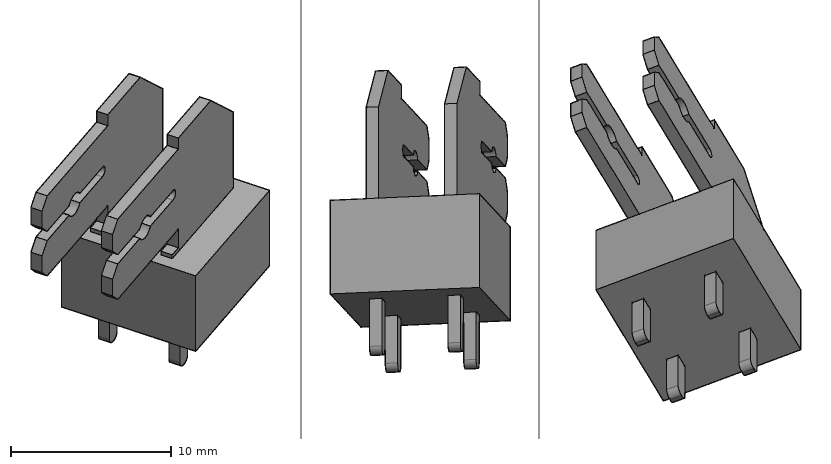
import cadquery as cq


housing_width = 9.5
housing_depth = 9.8
housing_height = 6.0

terminal_thickness = 0.8
terminal_pitch = 5.0
terminal_offset = -0.25
terminal_height = 9.01
back_y = 8.95
shoulder_y = 1.66
top_bevel = 2.98
foot_front_y = 0.85
foot_height = 0.3

tab_tip_y = -7.05
tab_height = 6.36
tab_top_z = 8.14
tab_mid_z = tab_top_z - tab_height / 2
slot_width = 0.74
slot_end_y = 1.31
detent_y = -2.74
detent_diameter = 1.6
prong_bevel_length = 0.68
prong_bevel_height = 0.74

pin_width = 1.0
pin_pitch = 5.0
front_pin_y = 2.4
pin_length_below = 18.5 - housing_height - terminal_height
pin_bottom_z = -housing_height - pin_length_below
pin_tip_radius = 0.46

pin_positions = [front_pin_y, front_pin_y + pin_pitch]
terminal_positions = [terminal_offset + side * terminal_pitch / 2 for side in (-1, 1)]


def side_plane(x_middle):
    """Y-Z sketch plane on the left face of a terminal centred at x_middle."""
    return cq.Workplane("YZ", origin=(x_middle - terminal_thickness / 2, 0, 0))


def make_plate(x_middle):
    """Upright plate with a bevelled back corner, a small foot and a plain tab."""
    tab_bottom_z = tab_top_z - tab_height
    outline = [
        (back_y, 0),
        (back_y, terminal_height - top_bevel),
        (back_y - top_bevel, terminal_height),
        (shoulder_y, terminal_height),
        (shoulder_y, tab_top_z),
        (tab_tip_y, tab_top_z),
        (tab_tip_y, tab_bottom_z),
        (shoulder_y, tab_bottom_z),
        (shoulder_y, foot_height),
        (foot_front_y, foot_height),
        (foot_front_y, 0),
    ]
    return side_plane(x_middle).polyline(outline).close().extrude(terminal_thickness)


def make_slot(x_middle):
    """Round-ended slot and round detent that split the tab into two prongs."""
    round_centre_y = slot_end_y - slot_width / 2
    slot_bottom_z = tab_mid_z - slot_width / 2
    slot_top_z = tab_mid_z + slot_width / 2
    slot = (
        side_plane(x_middle)
        .moveTo(tab_tip_y, slot_bottom_z)
        .lineTo(round_centre_y, slot_bottom_z)
        .threePointArc((slot_end_y, tab_mid_z), (round_centre_y, slot_top_z))
        .lineTo(tab_tip_y, slot_top_z)
        .close()
        .extrude(terminal_thickness)
    )
    detent = (
        side_plane(x_middle)
        .center(detent_y, tab_mid_z)
        .circle(detent_diameter / 2)
        .extrude(terminal_thickness)
    )
    return slot.union(detent)


def bevel_prongs(terminal, x_middle):
    """Bevel the upper and lower corners at the tip of each prong."""
    corners = [
        (tab_top_z, -1),
        (tab_mid_z + slot_width / 2, 1),
        (tab_mid_z - slot_width / 2, -1),
        (tab_top_z - tab_height, 1),
    ]
    for corner_z, inward in corners:
        wedge = (
            side_plane(x_middle)
            .moveTo(tab_tip_y, corner_z)
            .lineTo(tab_tip_y + prong_bevel_length, corner_z)
            .lineTo(tab_tip_y, corner_z + inward * prong_bevel_height)
            .close()
            .extrude(terminal_thickness)
        )
        terminal = terminal.cut(wedge)
    return terminal


def make_pin(x_middle, y_middle):
    """Rectangular pin with rounded tip corners, running down from the plate."""
    height = -pin_bottom_z
    pin = (
        cq.Workplane("XY", origin=(x_middle, y_middle, pin_bottom_z))
        .box(terminal_thickness, pin_width, height, centered=(True, True, False))
    )
    return pin.faces("<Z").edges("|X").fillet(pin_tip_radius)


def make_terminal(x_middle):
    """One terminal: forked plate and its two pins as a single solid."""
    terminal = bevel_prongs(make_plate(x_middle).cut(make_slot(x_middle)), x_middle)
    for y_middle in pin_positions:
        terminal = terminal.union(make_pin(x_middle, y_middle))
    return terminal


def make_housing():
    """Plain block with a through hole for every pin."""
    block = cq.Workplane("XY").box(
        housing_width, housing_depth, housing_height, centered=(True, False, False)
    ).translate((0, 0, -housing_height))
    hole_centres = [(x, y) for x in terminal_positions for y in pin_positions]
    holes = (
        cq.Workplane("XY")
        .pushPoints(hole_centres)
        .rect(terminal_thickness, pin_width)
        .extrude(-housing_height)
    )
    return block.cut(holes)


housing = make_housing()
terminals = [make_terminal(x_middle) for x_middle in terminal_positions]

result = cq.Compound.makeCompound(
    [housing.val(), *[terminal.val() for terminal in terminals]]
)